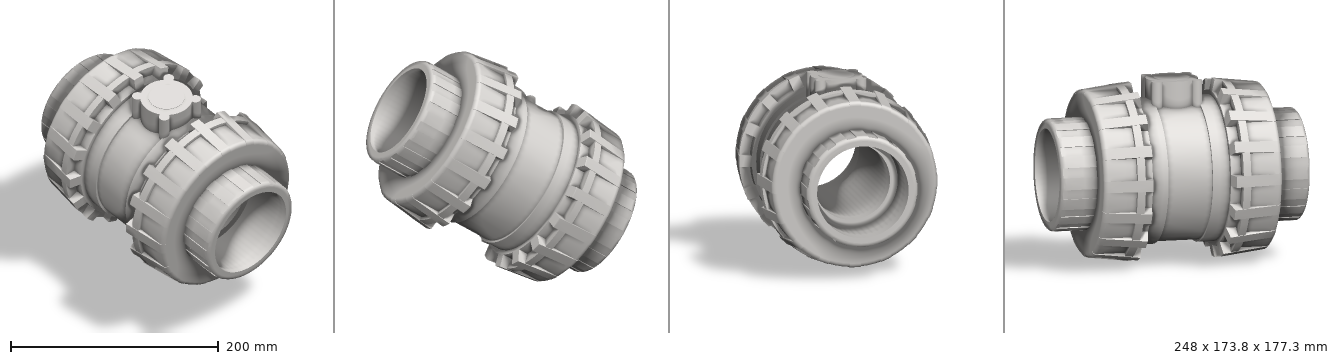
import cadquery as cq


bore_radius = 37.5

waist_radius = 68.5
waist_half_length = 22.0
shoulder_radius = 141.5 / 2
housing_half_length = 57.0

nut_inner_end = 39.0
nut_outer_end = 88.8
nut_radius = 162.5 / 2
nut_rim_fillet = 4.2
skirt_radius = 75.1
collar_outer_radius = 84.8
collar_inner_radius = 85.5
collar_inner_end = 48.9
collar_outer_end = 56.5
nut_wall = 10.0

nut_rib_count = 16
nut_rib_width = 11.0
nut_rib_radius = 173.8 / 2
nut_rib_crest_start = 41.5
nut_rib_crest_end = 42.5

connector_end = 124.0
connector_radius = 109.4 / 2
connector_rim_fillet = 4.5
socket_radius = 90.0 / 2
socket_depth = 51.3
groove_count = 16
groove_width = 9.7
groove_floor_radius = 53.5

knob_radius = 25.3
knob_lobe_count = 4
knob_lobe_radius = 5.2
knob_lobe_circle_radius = 28.0
knob_disc_radius = 17.4
knob_disc_height = 0.5
overall_height = 177.3
knob_top = overall_height - nut_rib_radius


def revolve_about_x(profile):
    """Solid of revolution about X from (x, radius) points; the axis closes the profile."""
    on_axis = [(profile[0][0], 0), *profile, (profile[-1][0], 0)]
    return cq.Workplane("XY").polyline(on_axis).close().revolve(360, (0, 0, 0), (1, 0, 0))


def cylinder_along_x(radius, start, end):
    return revolve_about_x([(start, radius), (end, radius)])


def place_on_side(body, side):
    """Body built toward +X, mirrored when it belongs on the -X side."""
    return body if side > 0 else body.mirror("YZ")


def radial_bars(count, first_angle, width, inner, outer, start, end):
    """Straight bars of equal width, spaced evenly around the X axis."""
    bar = cq.Workplane("XY").box(
        end - start, width, outer - inner, centered=(False, True, False)
    ).translate((start, 0, inner))
    bars = cq.Workplane("XY")
    for index in range(count):
        angle = first_angle + index * 360 / count
        bars = bars.add(bar.rotate((0, 0, 0), (1, 0, 0), angle))
    return bars.combine()


def make_housing():
    spigot_end = housing_half_length
    outer = revolve_about_x([
        (-spigot_end, shoulder_radius),
        (-waist_half_length, shoulder_radius),
        (-waist_half_length, waist_radius),
        (waist_half_length, waist_radius),
        (waist_half_length, shoulder_radius),
        (spigot_end, shoulder_radius),
    ])
    return outer.cut(cylinder_along_x(bore_radius, -spigot_end, spigot_end))


def make_nut(side):
    shell = revolve_about_x([
        (nut_inner_end, skirt_radius),
        (collar_inner_end, skirt_radius),
        (collar_inner_end, collar_inner_radius),
        (collar_outer_end, collar_outer_radius),
        (collar_outer_end, nut_radius),
        (nut_outer_end, nut_radius),
    ])
    shell = shell.faces(">X").edges().fillet(nut_rim_fillet)

    rib_envelope = revolve_about_x([
        (nut_inner_end, skirt_radius),
        (nut_rib_crest_start, nut_rib_radius),
        (nut_rib_crest_end, nut_rib_radius),
        (nut_outer_end, nut_radius),
    ])
    rib_envelope = rib_envelope.faces(">X").edges().fillet(nut_rim_fillet)
    rib_bars = radial_bars(
        nut_rib_count, 0, nut_rib_width, shoulder_radius, nut_rib_radius, nut_inner_end, nut_outer_end
    )
    nut = shell.union(rib_envelope.intersect(rib_bars))

    cavity = cylinder_along_x(shoulder_radius, nut_inner_end, nut_outer_end - nut_wall)
    neck_hole = cylinder_along_x(connector_radius, nut_inner_end, nut_outer_end)
    return place_on_side(nut.cut(cavity).cut(neck_hole), side)


def make_connector(side):
    neck = cylinder_along_x(connector_radius, housing_half_length, connector_end)
    neck = neck.faces(">X").edges().fillet(connector_rim_fillet)
    flange = cylinder_along_x(shoulder_radius, housing_half_length, nut_outer_end - nut_wall)

    half_pitch = 180 / groove_count
    grooves = radial_bars(
        groove_count, half_pitch, groove_width, groove_floor_radius, connector_radius,
        nut_outer_end, connector_end
    )
    connector = neck.cut(grooves).union(flange)

    bore = cylinder_along_x(bore_radius, housing_half_length, connector_end)
    socket = cylinder_along_x(socket_radius, connector_end - socket_depth, connector_end)
    return place_on_side(connector.cut(bore).cut(socket), side)


def make_knob():
    """Lobed knob whose underside is shaped to rest on the housing."""
    height = knob_top - knob_disc_height
    first_lobe_angle = 180 / knob_lobe_count
    knob = cq.Workplane("XY").circle(knob_radius).extrude(height)
    lobes = (
        cq.Workplane("XY")
        .polarArray(knob_lobe_circle_radius, first_lobe_angle, 360, knob_lobe_count)
        .circle(knob_lobe_radius)
        .extrude(height)
    )
    disc = cq.Workplane("XY").circle(knob_disc_radius).extrude(knob_top)
    knob = knob.union(lobes).union(disc)

    waist = cylinder_along_x(waist_radius, -waist_half_length, waist_half_length)
    knob = knob.cut(waist)
    for side in (-1, 1):
        shoulder = cylinder_along_x(shoulder_radius, waist_half_length, housing_half_length)
        knob = knob.cut(place_on_side(shoulder, side))
    return knob


housing = make_housing()
knob = make_knob()
nuts = [make_nut(side) for side in (-1, 1)]
connectors = [make_connector(side) for side in (-1, 1)]

result = cq.Compound.makeCompound([
    housing.val(),
    knob.val(),
    *[nut.val() for nut in nuts],
    *[connector.val() for connector in connectors],
])